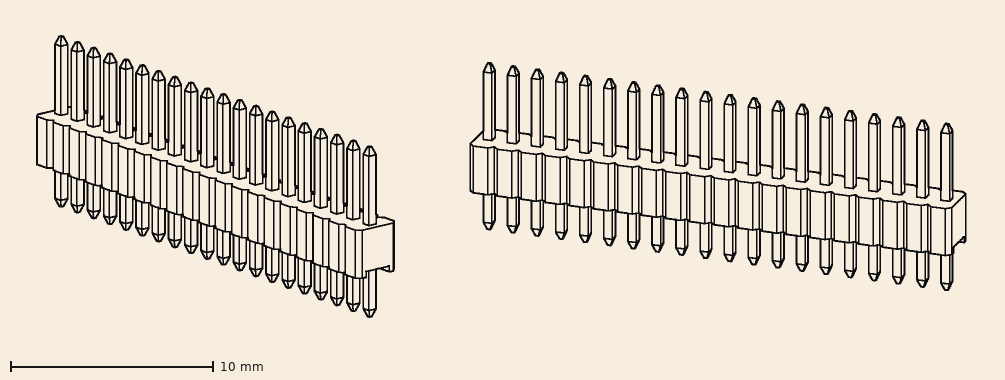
import cadquery as cq

body_length = 25.4
pin_count = 20
body_width = 2.5
body_height = 2.5
corner_chamfer = 0.25

channel_width = 1.5
channel_depth = 0.3

pin_side = 0.45
pin_above_body = 4.0
pin_below_body = 2.3
tip_length = 0.4
tip_side = 0.15

pitch = body_length / pin_count
pin_top = body_height + pin_above_body
shaft_bottom = tip_length - pin_below_body
shaft_length = pin_top - tip_length - shaft_bottom
pin_positions = [(i + 0.5) * pitch - body_length / 2 for i in range(pin_count)]


def housing():
    """Row of chamfered cells joined end to end, which leaves a V notch at each joint."""
    cell = (
        cq.Workplane("XY")
        .box(pitch, body_width, body_height, centered=(True, True, False))
        .edges("|Z")
        .chamfer(corner_chamfer)
    )
    row = cq.Workplane("XY")
    for x in pin_positions:
        row = row.union(cell.translate((x, 0, 0)))
    return row


def underside_channel():
    """Channel along the full length of the housing underside."""
    return cq.Workplane("XY").box(
        body_length, channel_width, channel_depth, centered=(True, True, False)
    )


def pin():
    """Square pin with a blunt pyramid tip at each end, standing on the Z axis."""
    shaft = (
        cq.Workplane("XY", origin=(0, 0, shaft_bottom))
        .rect(pin_side, pin_side)
        .extrude(shaft_length)
    )
    tip = (
        cq.Workplane("XY")
        .rect(pin_side, pin_side)
        .workplane(offset=tip_length)
        .rect(tip_side, tip_side)
        .loft(ruled=True)
    )
    upper_tip = tip.translate((0, 0, pin_top - tip_length))
    lower_tip = tip.mirror("XY").translate((0, 0, shaft_bottom))
    return shaft.union(upper_tip).union(lower_tip)


result = housing().cut(underside_channel())
single_pin = pin()
for x in pin_positions:
    result = result.union(single_pin.translate((x, 0, 0)))